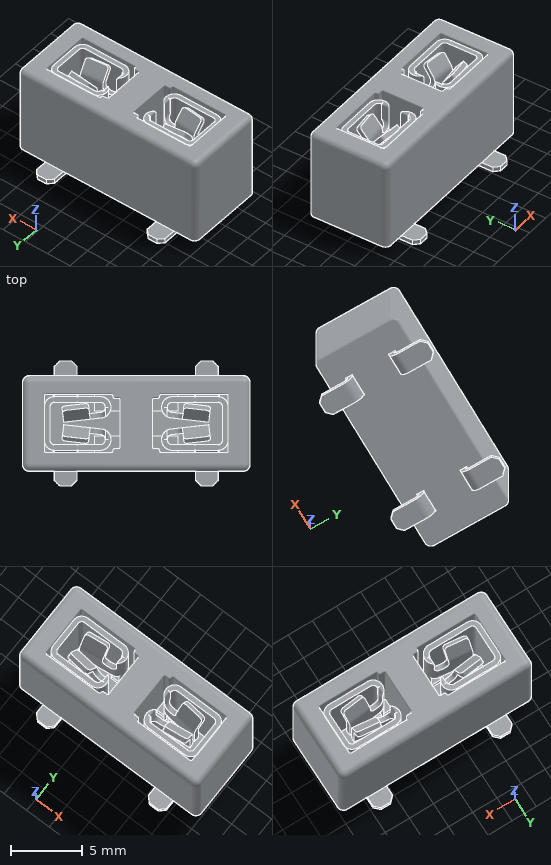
import cadquery as cq
import math

length = 16.0
width = 6.74
height = 7.52
edge_radius = 0.5
bottom_radius = 0.15
floor_z = 1.0

pocket_outer_x = -6.45
pocket_main_x = -1.65
pocket_inner_x = -1.15
pocket_half_width = 2.03
pocket_step_half_width = 1.76
pocket_corner_radius = 0.1
pocket_shoulder_radius = 0.15
pocket_rim_radius = 0.1

pad_start_x = -2.93
pad_inner_y = 0.88
pad_height = 0.5

strip = 0.4
strip_top_z = 7.23
strip_outer_y = 1.89
corner_inner_radius = 0.3
curl_inner_radius = 0.35
curl_center_x = -2.53
finger_slope = 6.5
finger_bottom_z = 3.97
finger_top_z = 5.47
finger_end_run = 2.67
finger_tail = 0.32

notch_start_x = -1.98
notch_top_radius = 0.16
notch_root_radius = 0.56

blade_length = 1.87
blade_bend_z = 6.2
blade_lean = 38.0
blade_corner_radius = 0.25
blade_bend_radius = 0.3
blade_root_radius = 0.5

lead_x = -4.96
lead_width = 1.6
lead_bend_radius = 0.77
lead_tip_y = 4.4
lead_bottom_z = -0.74
lead_tip_chamfer = 0.4
lead_slot_end_gap = 0.06

curl_outer_radius = curl_inner_radius + strip
curl_center_y = strip_outer_y - curl_outer_radius


def box(x0, x1, y0, y1, z0, z1):
    return cq.Workplane("XY").box(x1 - x0, y1 - y0, z1 - z0, centered=False).translate((x0, y0, z0))


def both_sides(solid):
    """The solid together with its mirror image across the XZ plane."""
    return solid.union(solid.mirror("XZ"))


def curl_point(radius, angle):
    a = math.radians(angle)
    return (curl_center_x + radius * math.cos(a), curl_center_y + radius * math.sin(a))


def make_curl():
    """Curl from the long side round to the start of the finger, with its last quarter notched."""
    start = 90
    end = finger_slope - 90
    middle = (start + end) / 2
    outer_end = curl_point(curl_outer_radius, end)
    inner_end = curl_point(curl_inner_radius, end)
    slope = math.radians(finger_slope)
    tail_x = -finger_tail * math.cos(slope)
    tail_y = -finger_tail * math.sin(slope)
    ring = (
        cq.Workplane("XY", origin=(0, 0, floor_z))
        .moveTo(*curl_point(curl_outer_radius, start))
        .threePointArc(curl_point(curl_outer_radius, middle), outer_end)
        .line(tail_x, tail_y)
        .lineTo(inner_end[0] + tail_x, inner_end[1] + tail_y)
        .lineTo(*inner_end)
        .threePointArc(curl_point(curl_inner_radius, middle), curl_point(curl_inner_radius, start))
        .close()
        .extrude(strip_top_z - floor_z)
    )
    wall_x = notch_start_x - notch_top_radius
    far_x = wall_x - curl_outer_radius
    notch = (
        cq.Workplane("XZ")
        .moveTo(notch_start_x, strip_top_z)
        .radiusArc((wall_x, strip_top_z - notch_top_radius), -notch_top_radius)
        .lineTo(wall_x, finger_top_z + notch_root_radius)
        .radiusArc((wall_x - notch_root_radius, finger_top_z), notch_root_radius)
        .lineTo(far_x, finger_top_z)
        .lineTo(far_x, strip_top_z)
        .close()
        .extrude(-curl_center_y)
    )
    under_finger = box(far_x, notch_start_x, 0, curl_center_y, floor_z, finger_bottom_z)
    return ring.cut(notch).cut(under_finger)


def make_housing():
    body = cq.Workplane("XY").box(length, width, height, centered=(True, True, False))
    body = body.edges("|Z or >Z").fillet(edge_radius)
    return body.faces("<Z").edges().fillet(bottom_radius)


def make_pocket():
    main = box(pocket_outer_x, pocket_main_x, -pocket_half_width, pocket_half_width, floor_z, height)
    main = main.edges("|Z").fillet(pocket_corner_radius)
    step = box(pocket_main_x, pocket_inner_x, -pocket_step_half_width, pocket_step_half_width, floor_z, height)
    step = step.edges("|Z and >X").fillet(pocket_corner_radius)
    pocket = main.union(step)
    nearest = cq.selectors.NearestToPointSelector
    for y in (-pocket_step_half_width, pocket_step_half_width):
        shoulder = nearest((pocket_main_x, y, (floor_z + height) / 2))
        pocket = pocket.edges(shoulder).fillet(pocket_shoulder_radius)
    return pocket


def make_pad():
    return box(pad_start_x, pocket_inner_x, pad_inner_y, pocket_half_width, floor_z, floor_z + pad_height)


def make_lead_slot():
    half_length = lead_width / 2 + lead_slot_end_gap
    return box(
        lead_x - half_length, lead_x + half_length,
        strip_outer_y - strip, pocket_half_width, 0, floor_z,
    )


def make_back():
    """U-shaped part of the strip along the outer end and both long sides of the pocket."""
    outer = box(pocket_outer_x, curl_center_x, -strip_outer_y, strip_outer_y, floor_z, strip_top_z)
    outer = outer.edges("|Z and <X").fillet(corner_inner_radius + strip)
    inner_y = strip_outer_y - strip
    inner = box(pocket_outer_x + strip, curl_center_x, -inner_y, inner_y, floor_z, strip_top_z)
    inner = inner.edges("|Z and <X").fillet(corner_inner_radius)
    return outer.cut(inner)


def make_finger():
    """Finger and flared blade, built along a straight line and then turned to the finger slope."""
    end_angle = finger_slope - 90
    bar = box(-finger_end_run, 0, 0, strip, finger_bottom_z, finger_top_z)
    lean = math.radians(blade_lean)
    run = (strip_top_z - blade_bend_z) * math.tan(lean)
    across = strip * math.cos(lean)
    drop = strip * math.sin(lean)
    outer_bend_z = blade_bend_z - strip * math.tan(lean / 2)
    blade = (
        cq.Workplane("YZ", origin=(-finger_end_run, 0, 0))
        .moveTo(0, finger_bottom_z)
        .lineTo(0, blade_bend_z)
        .lineTo(run, strip_top_z)
        .lineTo(run + across, strip_top_z - drop)
        .lineTo(strip, outer_bend_z)
        .lineTo(strip, finger_bottom_z)
        .close()
        .extrude(blade_length)
    )
    nearest = cq.selectors.NearestToPointSelector
    middle_x = blade_length / 2 - finger_end_run
    blade = blade.edges(nearest((middle_x, 0, blade_bend_z))).fillet(blade_bend_radius + strip)
    blade = blade.edges(nearest((middle_x, strip, outer_bend_z))).fillet(blade_bend_radius)
    for x in (-finger_end_run, blade_length - finger_end_run):
        blade = blade.edges(nearest((x, run + across / 2, strip_top_z - drop / 2))).fillet(blade_corner_radius)
    bar = bar.union(blade)
    root_edge = nearest((blade_length - finger_end_run, strip / 2, finger_top_z))
    bar = bar.edges(root_edge).fillet(blade_root_radius)
    bar = bar.rotate((0, 0, 0), (0, 0, 1), finger_slope)
    x, y = curl_point(curl_outer_radius, end_angle)
    return bar.translate((x, y, 0))


def make_lead():
    """Lead dropping from the strip through the floor and bending outwards into a flat foot."""
    face_y = strip_outer_y - strip
    bend_y = face_y + lead_bend_radius
    bend_z = lead_bottom_z + lead_bend_radius
    inner_radius = lead_bend_radius - strip
    diagonal = math.sqrt(0.5)
    lead = (
        cq.Workplane("YZ", origin=(lead_x - lead_width / 2, 0, 0))
        .moveTo(face_y, floor_z)
        .lineTo(face_y, bend_z)
        .threePointArc(
            (bend_y - lead_bend_radius * diagonal, bend_z - lead_bend_radius * diagonal),
            (bend_y, lead_bottom_z),
        )
        .lineTo(lead_tip_y, lead_bottom_z)
        .lineTo(lead_tip_y, lead_bottom_z + strip)
        .lineTo(bend_y, lead_bottom_z + strip)
        .threePointArc(
            (bend_y - inner_radius * diagonal, bend_z - inner_radius * diagonal),
            (strip_outer_y, bend_z),
        )
        .lineTo(strip_outer_y, floor_z)
        .close()
        .extrude(lead_width)
    )
    return lead.faces(">Y").edges("|Z").chamfer(lead_tip_chamfer)


def make_contact():
    half = make_curl().union(make_finger()).union(make_lead())
    return make_back().union(both_sides(half))


housing = make_housing()
pocket = make_pocket()
housing = housing.cut(pocket).cut(pocket.mirror("YZ"))
mouths = [edge for wire in housing.faces(">Z").val().innerWires() for edge in wire.Edges()]
housing = housing.newObject(mouths).fillet(pocket_rim_radius)

slots = both_sides(make_lead_slot())
fittings = both_sides(make_pad()).union(make_contact())
housing = housing.cut(slots).cut(slots.mirror("YZ"))
result = housing.union(fittings).union(fittings.mirror("YZ"))